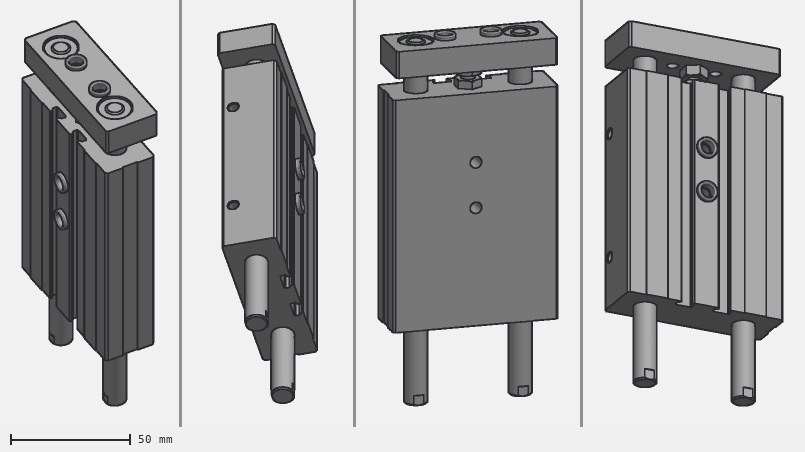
import cadquery as cq
import math

overall_height = 160.4

housing_width = 72.0
housing_half_depth = 11.7
housing_bottom = 35.0
housing_height = 101.7
housing_chamfer = 1.0
pad_height = 0.3
side_groove_width = 7.0
side_groove_depth = 0.5

slot_offset = 8.7
slot_throat_width = 5.0
slot_inner_width = 7.7
slot_floor_width = 6.7
slot_mouth_chamfer = 0.6
slot_lip_depth = 1.0
slot_depth = 4.5

sleeve_protrusion = 2.0
plate_width = 70.3
plate_front = -10.9
plate_back = 13.8
plate_thickness = 11.7
plate_chamfer = 1.0

rod_offset = 22.8
rod_diameter = 10.0
rod_end_chamfer = 0.6
rod_flat_distance = 9.0
rod_flat_length = 4.5
head_diameter = 15.0
head_rim_diameter = 14.0
head_thickness = 3.2
boss_diameter = 8.0
boss_tip_diameter = 6.4
boss_height = 0.6

piston_diameter = 6.0
hex_across_flats = 10.3
hex_chamfer = 0.5
upper_hex_height = 4.5
lower_hex_height = 3.5

sleeve_diameter = 9.0
sleeve_bore = 6.0
sleeve_recess_depth = 2.1
sleeve_rounding = 0.6
sleeve_hole_diameter = 5.0
plate_sleeve_offset = 10.0
housing_sleeve_heights = (86.6, 106.5)

port_y = 6.7
port_heights = (57.6, 113.7)
port_diameter = 4.2
port_mouth_diameter = 5.0
port_depth = 6.4

housing_top = housing_bottom + housing_height
housing_side = housing_width / 2
housing_face = -housing_half_depth
pad_face = housing_face - pad_height
plate_top = overall_height - sleeve_protrusion
plate_bottom = plate_top - plate_thickness
head_top = plate_top - boss_height
head_bottom = head_top - head_thickness
sleeve_length = sleeve_recess_depth + sleeve_protrusion
rod_sides = (-rod_offset, rod_offset)


def vertical_cylinder(diameter, x, bottom, top):
    return cq.Workplane("XY", origin=(x, 0, bottom)).circle(diameter / 2).extrude(top - bottom)


def front_cylinder(diameter, z, depth):
    """Cylinder along +Y that starts on the raised front face."""
    return cq.Workplane("XZ", origin=(0, pad_face, z)).circle(diameter / 2).extrude(-depth)


def full_height_strip(x_min, x_max, y_min, y_max):
    return (
        cq.Workplane("XY")
        .box(x_max - x_min, y_max - y_min, housing_height, centered=False)
        .translate((x_min, y_min, housing_bottom))
    )


def sensor_slot(x):
    """Undercut slot with a chamfered mouth, open to the front and running the full height."""
    throat = slot_throat_width / 2
    inner = slot_inner_width / 2
    floor = slot_floor_width / 2
    half_profile = [
        (throat + slot_mouth_chamfer, pad_face),
        (throat, pad_face + slot_mouth_chamfer),
        (throat, pad_face + slot_lip_depth),
        (inner, pad_face + slot_lip_depth + inner - throat),
        (inner, pad_face + slot_depth - inner + floor),
        (floor, pad_face + slot_depth),
    ]
    mirrored = [(-px, py) for px, py in reversed(half_profile)]
    return (
        cq.Workplane("XY", origin=(x, 0, housing_bottom))
        .polyline(half_profile + mirrored)
        .close()
        .extrude(housing_height)
    )


def air_port(z):
    """Blind drilled port on the -X side with a chamfered mouth and a drill-point end."""
    radius = port_diameter / 2
    mouth_radius = port_mouth_diameter / 2
    profile = [
        (0, 0),
        (0, mouth_radius),
        (mouth_radius - radius, radius),
        (port_depth, radius),
        (port_depth + radius / math.sqrt(3), 0),
    ]
    return (
        cq.Workplane("XY")
        .polyline(profile)
        .close()
        .revolve(360, (0, 0, 0), (1, 0, 0))
        .translate((-housing_side, port_y, z))
    )


def make_housing():
    body = full_height_strip(-housing_side, housing_side, housing_face, housing_half_depth)
    body = body.edges("|Z").chamfer(housing_chamfer)

    for x in rod_sides:
        pad = full_height_strip(x - rod_diameter / 2, x + rod_diameter / 2, pad_face, 0)
        body = body.union(pad)
    body = body.union(full_height_strip(-slot_offset, slot_offset, pad_face, 0))
    for x in (-slot_offset, slot_offset):
        body = body.cut(sensor_slot(x))

    body = body.cut(
        full_height_strip(
            housing_side - side_groove_depth, housing_side, -side_groove_width / 2, side_groove_width / 2
        )
    )
    for x in rod_sides:
        body = body.cut(vertical_cylinder(rod_diameter, x, housing_bottom, housing_top))
    for z in housing_sleeve_heights:
        body = body.cut(front_cylinder(sleeve_diameter, z, sleeve_recess_depth))
        body = body.cut(front_cylinder(sleeve_hole_diameter, z, 2 * housing_half_depth + pad_height))
    for z in port_heights:
        body = body.cut(air_port(z))
    return body


def hexagon(bottom, height, chamfered_face):
    """Hexagon with two corners on the Y axis and the corners of one end face turned off."""
    corner_diameter = hex_across_flats / math.cos(math.pi / 6)
    turned_blank = (
        vertical_cylinder(corner_diameter, 0, bottom, bottom + height)
        .faces(chamfered_face)
        .chamfer(hex_chamfer)
    )
    return (
        cq.Workplane("XY", origin=(0, 0, bottom))
        .transformed(rotate=(0, 0, 90))
        .polygon(6, corner_diameter)
        .extrude(height)
        .intersect(turned_blank)
    )


def make_yoke():
    """Yoke plate in one piece with the piston rod and its two hexagons."""
    body = (
        cq.Workplane("XY")
        .box(plate_width, plate_back - plate_front, plate_thickness, centered=(True, False, False))
        .translate((0, plate_front, plate_bottom))
        .edges("|Z")
        .chamfer(plate_chamfer)
    )
    for x in rod_sides:
        body = body.cut(vertical_cylinder(rod_diameter, x, plate_bottom, plate_top))
        body = body.cut(vertical_cylinder(head_diameter, x, head_bottom, plate_top))
    for x in (-plate_sleeve_offset, plate_sleeve_offset):
        body = body.cut(vertical_cylinder(sleeve_diameter, x, plate_top - sleeve_recess_depth, plate_top))
        body = body.cut(vertical_cylinder(sleeve_hole_diameter, x, plate_bottom, plate_top))

    body = body.union(hexagon(plate_bottom - upper_hex_height, upper_hex_height, "<Z"))
    body = body.union(hexagon(housing_top, lower_hex_height, ">Z"))
    return body.union(vertical_cylinder(piston_diameter, 0, housing_top, plate_bottom))


def make_guide_rod(x):
    """Rod with a chamfered head sunk in the yoke plate and wrench flats at the lower end."""
    radius = rod_diameter / 2
    profile = [
        (0, 0),
        (radius - rod_end_chamfer, 0),
        (radius, rod_end_chamfer),
        (radius, head_bottom),
        (head_diameter / 2, head_bottom),
        (head_diameter / 2, head_top - (head_diameter - head_rim_diameter) / 2),
        (head_rim_diameter / 2, head_top),
        (boss_diameter / 2, head_top),
        (boss_tip_diameter / 2, plate_top),
        (0, plate_top),
    ]
    rod = cq.Workplane("XZ").polyline(profile).close().revolve(360, (0, 0, 0), (0, 1, 0))
    for side in (-1, 1):
        flat_cut = (
            cq.Workplane("XY")
            .box(rod_diameter, rod_diameter, rod_flat_length, centered=(True, True, False))
            .translate((0, side * (rod_flat_distance + rod_diameter) / 2, 0))
        )
        rod = rod.cut(flat_cut)
    return rod.translate((x, 0, 0))


def make_sleeve():
    """Centring sleeve along Z with its seated end at the origin."""
    return (
        cq.Workplane("XY")
        .circle(sleeve_diameter / 2)
        .circle(sleeve_bore / 2)
        .extrude(sleeve_length)
        .faces(">Z")
        .edges()
        .fillet(sleeve_rounding)
    )


housing = make_housing()
yoke = make_yoke()
guide_rods = [make_guide_rod(x) for x in rod_sides]

plate_sleeves = [
    make_sleeve().translate((x, 0, plate_top - sleeve_recess_depth))
    for x in (-plate_sleeve_offset, plate_sleeve_offset)
]
housing_sleeves = [
    make_sleeve().rotate((0, 0, 0), (1, 0, 0), 90).translate((0, pad_face + sleeve_recess_depth, z))
    for z in housing_sleeve_heights
]

bodies = [housing, yoke, *guide_rods, *plate_sleeves, *housing_sleeves]
result = cq.Compound.makeCompound([body.val() for body in bodies])